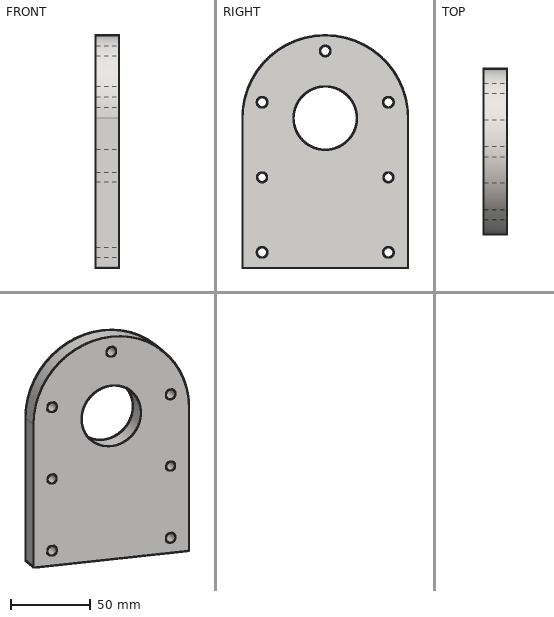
import cadquery as cq

thickness = 15.0
width = 105.0
height = 147.5
top_radius = width / 2
arc_center_z = height - top_radius
corner_radius = 0.9

bore_diameter = 40.0
bolt_diameter = 6.5
middle_bolt_diameter = 6.0
bolt_offset_y = 40.0
top_bolt_inset = 10.0
bottom_bolt_z = 10.0
bolt_row_pitch = 47.5
middle_bolt_z = bottom_bolt_z + bolt_row_pitch
upper_bolt_z = middle_bolt_z + bolt_row_pitch


def make_plate():
    """Extrude the arched outline along X and round its bottom corners."""
    plate = (
        cq.Workplane("YZ")
        .moveTo(-width / 2, 0)
        .lineTo(width / 2, 0)
        .lineTo(width / 2, arc_center_z)
        .threePointArc((0, height), (-width / 2, arc_center_z))
        .close()
        .extrude(thickness)
    )
    return plate.faces("<Z").edges("|X").fillet(corner_radius)


def cut_holes(plate, centers, diameter):
    """Cut equal through holes at the given (y, z) centers."""
    holes = cq.Workplane("YZ").pushPoints(centers).circle(diameter / 2).extrude(thickness)
    return plate.cut(holes)


def bolt_pair(z):
    """Centers of two bolt holes placed symmetrically at height z."""
    return [(-bolt_offset_y, z), (bolt_offset_y, z)]


top_bolt = [(0, height - top_bolt_inset)]
main_bolts = top_bolt + bolt_pair(upper_bolt_z) + bolt_pair(bottom_bolt_z)

result = make_plate()
result = cut_holes(result, [(0, arc_center_z)], bore_diameter)
result = cut_holes(result, main_bolts, bolt_diameter)
result = cut_holes(result, bolt_pair(middle_bolt_z), middle_bolt_diameter)